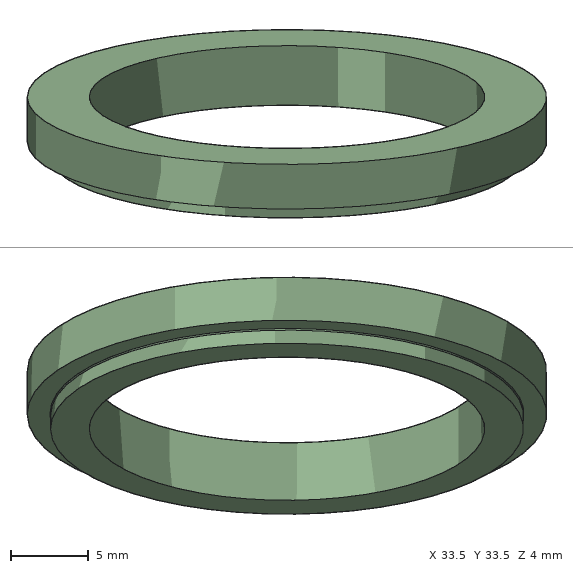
import cadquery as cq

outer_diameter = 33.5
lip_diameter = 30.5
bore_diameter = 25.5
total_height = 4.0
lip_height = 1.0

flare_height = 0.095
flare_width = 0.05

outer_radius = outer_diameter / 2
lip_radius = lip_diameter / 2
bore_radius = bore_diameter / 2

section = (
    cq.Workplane("XZ")
    .moveTo(bore_radius, 0)
    .lineTo(lip_radius, 0)
    .lineTo(lip_radius, lip_height - flare_height)
    .lineTo(lip_radius + flare_width, lip_height)
    .lineTo(outer_radius, lip_height)
    .lineTo(outer_radius, total_height)
    .lineTo(bore_radius, total_height)
    .close()
)

result = section.revolve(360, (0, 0, 0), (0, 1, 0))